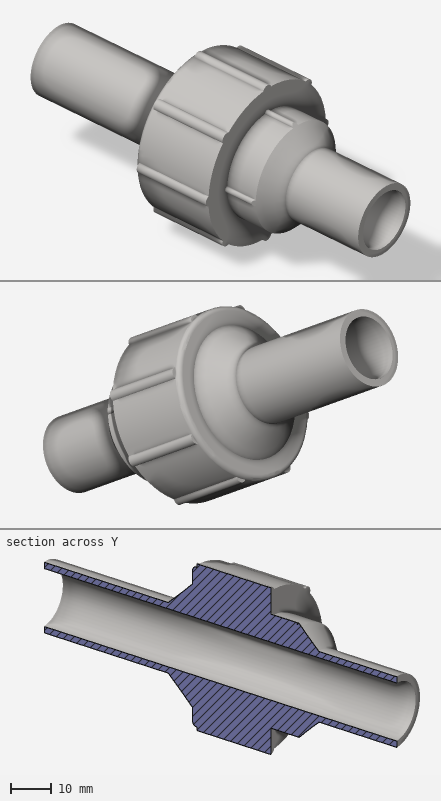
import cadquery as cq


total_length = 108.0
pipe_radius = 10.0
pipe_wall = 1.9
bore_radius = pipe_radius - pipe_wall

nut_start = 45.3
nut_end = 69.4
nut_radius = 22.5
nut_edge_radius = 1.3

grip_count = 8
grip_tip_radius = 23.5
grip_round = 1.6
grip_start = nut_start + nut_edge_radius

inlet_cone_radius = 17.4
inlet_cone_start = nut_start - (inlet_cone_radius - pipe_radius)

collar_radius = 15.3
cone_end = 84.1
collar_start = (nut_start + nut_end) / 2

collar_rib_count = 4
collar_rib_tip_radius = 16.1
collar_rib_round = 0.9


def revolve_about_x(outline):
    """Solid of revolution from (x, radius) points."""
    return cq.Workplane("XY").polyline(outline).close().revolve(360, (0, 0, 0), (1, 0, 0))


def cylinder_along_x(start, end, radius, offset=0.0):
    """Round bar parallel to X, raised above the axis by the offset."""
    plane = cq.Workplane("YZ", origin=(start, 0, 0))
    return plane.center(0, offset).circle(radius).extrude(end - start)


def around_axis(shape, count):
    """Copies of a shape spaced evenly about the X axis."""
    step = 360.0 / count
    return [shape.rotate((0, 0, 0), (1, 0, 0), i * step) for i in range(count)]


def make_inlet():
    return revolve_about_x([
        (0, 0),
        (0, pipe_radius),
        (inlet_cone_start, pipe_radius),
        (nut_start, inlet_cone_radius),
        (collar_start, inlet_cone_radius),
        (collar_start, 0),
    ])


def make_nut():
    nut = cylinder_along_x(nut_start, nut_end, nut_radius)
    nut = nut.faces("<X").edges().fillet(nut_edge_radius)
    grip = cylinder_along_x(grip_start, nut_end, grip_round, grip_tip_radius - grip_round)
    for rib in around_axis(grip, grip_count):
        nut = nut.union(rib)
    return nut


def make_outlet():
    """Ribbed collar, tapered at 45 degrees down to the outlet pipe."""
    collar = cylinder_along_x(collar_start, cone_end, collar_radius)
    bar = cylinder_along_x(
        collar_start, cone_end, collar_rib_round, collar_rib_tip_radius - collar_rib_round
    )
    for rib in around_axis(bar, collar_rib_count):
        collar = collar.union(rib)
    cone_radius_at_start = pipe_radius + cone_end - collar_start
    envelope = revolve_about_x([
        (collar_start, 0),
        (collar_start, cone_radius_at_start),
        (cone_end, pipe_radius),
        (cone_end, 0),
    ])
    pipe = cylinder_along_x(cone_end, total_length, pipe_radius)
    return collar.intersect(envelope).union(pipe)


def make_coupling():
    body = make_inlet().union(make_nut()).union(make_outlet())
    return body.cut(cylinder_along_x(0, total_length, bore_radius))


result = make_coupling()